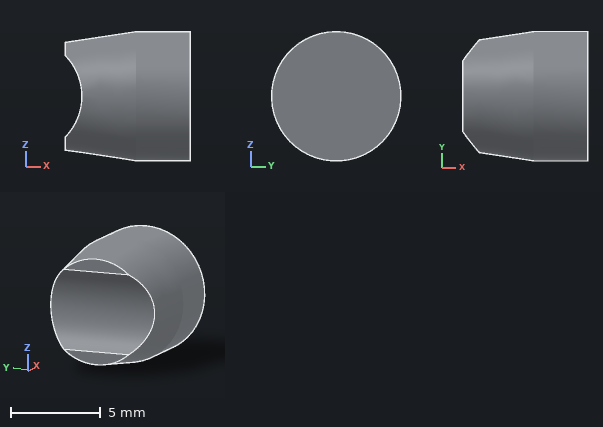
import cadquery as cq

body_diameter = 7.2
nose_diameter = 6.0
total_length = 6.95
cylinder_length = 3.0
nose_length = total_length - cylinder_length

saddle_depth = 0.92
saddle_radius = 3.25


def make_body():
    """Revolve the half profile about X; the nose face lies on X = 0."""
    return (
        cq.Workplane("XZ")
        .lineTo(0, nose_diameter / 2)
        .lineTo(nose_length, body_diameter / 2)
        .lineTo(total_length, body_diameter / 2)
        .lineTo(total_length, 0)
        .close()
        .revolve(360, (0, 0, 0), (1, 0, 0))
    )


def make_saddle_cutter():
    """Cylinder along Y whose side reaches saddle_depth into the nose."""
    return (
        cq.Workplane("XZ")
        .center(saddle_depth - saddle_radius, 0)
        .circle(saddle_radius)
        .extrude(body_diameter / 2, both=True)
    )


result = make_body().cut(make_saddle_cutter())